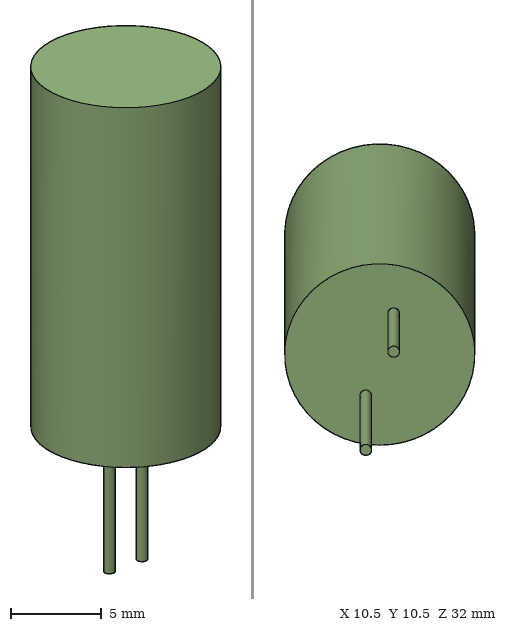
import cadquery as cq

total_height = 32.0
can_diameter = 10.5
can_height = 22.0

lead_diameter = 0.65
lead_spacing = 5.0
long_lead_length = total_height - can_height
short_lead_length = 7.0


def make_can():
    """Plain cylindrical can standing on the plane Z = 0."""
    return cq.Workplane("XY").circle(can_diameter / 2).extrude(can_height)


def make_lead(x, length):
    """Straight round lead hanging from the underside of the can."""
    return cq.Workplane("XY").center(x, 0).circle(lead_diameter / 2).extrude(-length)


can = make_can()
lead_layout = [
    (-lead_spacing / 2, long_lead_length),
    (lead_spacing / 2, short_lead_length),
]
leads = [make_lead(x, length) for x, length in lead_layout]

result = cq.Compound.makeCompound([can.val(), *[lead.val() for lead in leads]])